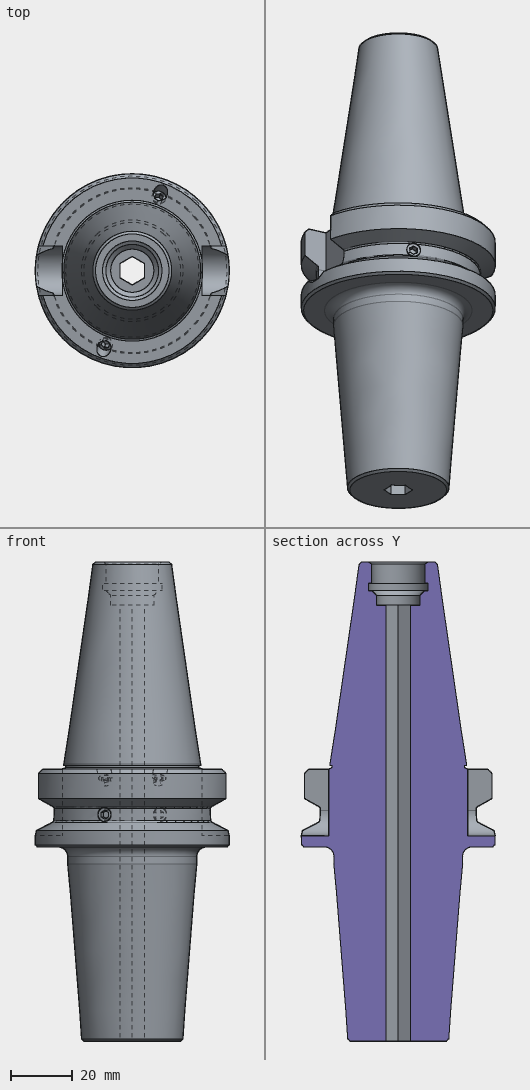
import cadquery as cq
import math

TOTAL_LENGTH = 155.4
GAUGE_Z = 90.0
FLANGE_TOP_Z = 88.3
FLANGE_BOTTOM_Z = 63.0

GAUGE_RADIUS = 22.2
TAPER_RATIO = 7 / 24
TAPER_TOP_CHAMFER = 0.8
COLLAR_RELIEF = 0.6
COLLAR_BAND = 0.6
COLLAR_FOOT_RADIUS = 22.8

FLANGE_RADIUS = 31.47
FLANGE_TOP_CHAMFER = 1.4
FLANGE_BOTTOM_CHAMFER = 0.8
GROOVE_RADIUS = 26.5
GROOVE_CENTRE_Z = 73.5
GROOVE_FLOOR_WIDTH = 4.7
GROOVE_FLANK_ANGLE = 30.0
GROOVE_CORNER_RADIUS = 0.6

NECK_RADIUS = 21.0
NECK_FILLET = 3.0
NECK_BOTTOM_Z = 57.5
NOSE_RADIUS = 16.5
NOSE_CHAMFER = 0.8

BORE_RADIUS = 8.5
MOUTH_RADIUS = 9.6
MOUTH_CHAMFER_DEPTH = 0.6
RELIEF_RADIUS = 9.6
RELIEF_START_DEPTH = 7.0
RELIEF_END_DEPTH = 9.3
STEP_RADIUS = 7.0
STEP_DEPTH = 14.0
HEX_ACROSS_FLATS = 8.0

SLOT_WIDTH = 16.2
SLOT_FLOOR_X = 22.5
SLOT_BOTTOM_Z = 66.7

COOLANT_ANGLES = (70.0, 250.0)
COOLANT_DIAMETER = 4.5
SOCKET_ACROSS_FLATS = 2.5
SOCKET_DEPTH = 2.5
TOP_HOLE_CENTRE_RADIUS = 26.9
TOP_HOLE_TILT = 30.0
TOP_HOLE_RECESS = 3.1
GROOVE_HOLE_RECESS = 0.5


def hexagon_diameter(across_flats):
    return across_flats / math.cos(math.radians(30))


def make_body():
    taper_top_radius = GAUGE_RADIUS - (TOTAL_LENGTH - GAUGE_Z) * TAPER_RATIO / 2
    chamfer_base_radius = taper_top_radius + TAPER_TOP_CHAMFER * TAPER_RATIO / 2
    groove_top_z = GROOVE_CENTRE_Z + GROOVE_FLOOR_WIDTH / 2
    groove_bottom_z = GROOVE_CENTRE_Z - GROOVE_FLOOR_WIDTH / 2
    flank_angle = math.radians(GROOVE_FLANK_ANGLE)
    flank_height = (FLANGE_RADIUS - GROOVE_RADIUS) * math.tan(flank_angle)
    corner_turn = math.pi / 2 - flank_angle
    corner_tangent = GROOVE_CORNER_RADIUS * math.tan(corner_turn / 2)
    corner_outer_radius = GROOVE_RADIUS + corner_tangent * math.cos(flank_angle)
    corner_rise = corner_tangent * math.sin(flank_angle)
    relief_top_z = GAUGE_Z - COLLAR_BAND
    relief_radius = GAUGE_RADIUS - COLLAR_RELIEF
    fillet_mid_offset = NECK_FILLET * (1 - math.sqrt(0.5))

    return (
        cq.Workplane("YZ")
        .moveTo(0, 0)
        .lineTo(NOSE_RADIUS - NOSE_CHAMFER, 0)
        .lineTo(NOSE_RADIUS, NOSE_CHAMFER)
        .lineTo(NECK_RADIUS, NECK_BOTTOM_Z)
        .lineTo(NECK_RADIUS, FLANGE_BOTTOM_Z - NECK_FILLET)
        .threePointArc(
            (NECK_RADIUS + fillet_mid_offset, FLANGE_BOTTOM_Z - fillet_mid_offset),
            (NECK_RADIUS + NECK_FILLET, FLANGE_BOTTOM_Z),
        )
        .lineTo(FLANGE_RADIUS - FLANGE_BOTTOM_CHAMFER, FLANGE_BOTTOM_Z)
        .lineTo(FLANGE_RADIUS, FLANGE_BOTTOM_Z + FLANGE_BOTTOM_CHAMFER)
        .lineTo(FLANGE_RADIUS, groove_bottom_z - flank_height)
        .lineTo(corner_outer_radius, groove_bottom_z - corner_rise)
        .tangentArcPoint((GROOVE_RADIUS, groove_bottom_z + corner_tangent), relative=False)
        .lineTo(GROOVE_RADIUS, groove_top_z - corner_tangent)
        .tangentArcPoint((corner_outer_radius, groove_top_z + corner_rise), relative=False)
        .lineTo(FLANGE_RADIUS, groove_top_z + flank_height)
        .lineTo(FLANGE_RADIUS, FLANGE_TOP_Z - FLANGE_TOP_CHAMFER)
        .lineTo(FLANGE_RADIUS - FLANGE_TOP_CHAMFER, FLANGE_TOP_Z)
        .lineTo(COLLAR_FOOT_RADIUS, FLANGE_TOP_Z)
        .lineTo(relief_radius, relief_top_z - COLLAR_RELIEF)
        .lineTo(relief_radius, relief_top_z)
        .lineTo(GAUGE_RADIUS, relief_top_z)
        .lineTo(GAUGE_RADIUS, GAUGE_Z)
        .lineTo(chamfer_base_radius, TOTAL_LENGTH - TAPER_TOP_CHAMFER)
        .lineTo(taper_top_radius - TAPER_TOP_CHAMFER, TOTAL_LENGTH)
        .lineTo(0, TOTAL_LENGTH)
        .close()
        .revolve(360, (0, 0, 0), (0, 1, 0))
    )


def make_bore():
    step_cone_depth = RELIEF_END_DEPTH + BORE_RADIUS - STEP_RADIUS
    stepped_bore = (
        cq.Workplane("YZ")
        .moveTo(0, TOTAL_LENGTH)
        .lineTo(MOUTH_RADIUS, TOTAL_LENGTH)
        .lineTo(BORE_RADIUS, TOTAL_LENGTH - MOUTH_CHAMFER_DEPTH)
        .lineTo(BORE_RADIUS, TOTAL_LENGTH - RELIEF_START_DEPTH)
        .lineTo(RELIEF_RADIUS, TOTAL_LENGTH - RELIEF_START_DEPTH)
        .lineTo(RELIEF_RADIUS, TOTAL_LENGTH - RELIEF_END_DEPTH)
        .lineTo(BORE_RADIUS, TOTAL_LENGTH - RELIEF_END_DEPTH)
        .lineTo(STEP_RADIUS, TOTAL_LENGTH - step_cone_depth)
        .lineTo(STEP_RADIUS, TOTAL_LENGTH - STEP_DEPTH)
        .lineTo(0, TOTAL_LENGTH - STEP_DEPTH)
        .close()
        .revolve(360, (0, 0, 0), (0, 1, 0))
    )
    hexagon = (
        cq.Workplane("XY")
        .transformed(rotate=(0, 0, 90))
        .polygon(6, hexagon_diameter(HEX_ACROSS_FLATS))
        .extrude(TOTAL_LENGTH)
    )
    return stepped_bore.union(hexagon)


def make_drive_slot(side):
    """Round-bottomed slot open at the flange top; side is +1 or -1 along X."""
    half_width = SLOT_WIDTH / 2
    arc_z = SLOT_BOTTOM_Z + half_width
    depth = FLANGE_RADIUS - SLOT_FLOOR_X
    return (
        cq.Workplane("YZ", origin=(side * SLOT_FLOOR_X, 0, 0))
        .moveTo(-half_width, FLANGE_TOP_Z)
        .lineTo(-half_width, arc_z)
        .threePointArc((0, SLOT_BOTTOM_Z), (half_width, arc_z))
        .lineTo(half_width, FLANGE_TOP_Z)
        .close()
        .extrude(side * depth)
    )


def make_plugged_hole(mouth, outward, recess):
    """Round recess below the mouth point with a hexagon socket in its floor."""
    floor = cq.Plane(
        origin=(mouth - outward * recess).toTuple(),
        xDir=(0, 1, 0),
        normal=outward.toTuple(),
    )
    clearance = COOLANT_DIAMETER
    hole = cq.Workplane(floor).circle(COOLANT_DIAMETER / 2).extrude(recess + clearance)
    socket = (
        cq.Workplane(floor)
        .transformed(rotate=(0, 0, 90))
        .polygon(6, hexagon_diameter(SOCKET_ACROSS_FLATS))
        .extrude(-SOCKET_DEPTH)
    )
    return hole.union(socket)


def make_coolant_holes(angle):
    """Tilted hole in the flange top and radial hole in the groove floor below it."""
    tilt = math.radians(TOP_HOLE_TILT)
    top_hole = make_plugged_hole(
        cq.Vector(TOP_HOLE_CENTRE_RADIUS, 0, FLANGE_TOP_Z),
        cq.Vector(math.sin(tilt), 0, math.cos(tilt)),
        TOP_HOLE_RECESS,
    )
    groove_hole = make_plugged_hole(
        cq.Vector(GROOVE_RADIUS, 0, GROOVE_CENTRE_Z),
        cq.Vector(1, 0, 0),
        GROOVE_HOLE_RECESS,
    )
    return top_hole.union(groove_hole).rotate((0, 0, 0), (0, 0, 1), angle)


result = make_body().cut(make_bore())
for slot_side in (1, -1):
    result = result.cut(make_drive_slot(slot_side))
for coolant_angle in COOLANT_ANGLES:
    result = result.cut(make_coolant_holes(coolant_angle))